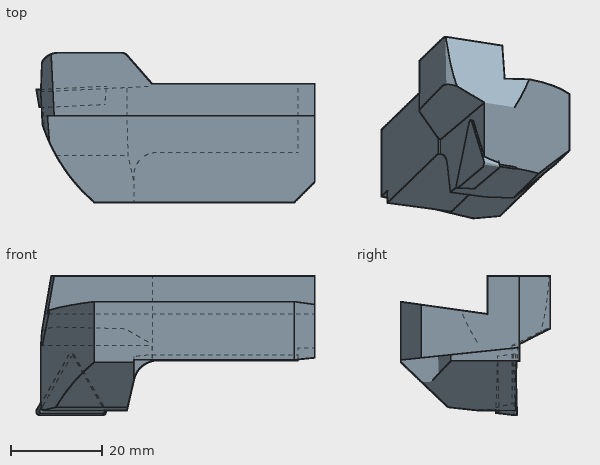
import cadquery as cq
import math


def tan_deg(angle):
    return math.tan(math.radians(angle))


holder_length = 60.07
holder_height = 29.5
front_y = -19.0
head_back_y = 13.8
shank_back_y = 7.0
edge_reach = 0.05
margin = 5.0

nose_x = 0.34
nose_turn = 2.8
nose_lean = 10.0
nose_lean_z = 14.3
nose_foot_chamfer = 0.35
nose_foot_lean = 45.0

curve_start_y = -1.85
curve_end_x = 11.83
curve_radius = 38.0
head_corner_radius = 4.0
head_end_x = 18.5
head_end_radius = 1.5
shank_back_start_x = 24.45
end_chamfer = 4.5

step_depth = 8.3
step_slope = 8.0

foot_chamfer_top_z = 10.65
foot_chamfer_bottom_y = -8.6
foot_slope = 6.2

blade_foot_end_x = 18.96
blade_end_lean = 13.0
web_bottom_z = 10.95
web_fillet = 5.2

blade_back_y = 5.3
overhang_slope = 26.0

recess_start_x = 20.4
recess_front_z = 11.1
recess_slope = 6.0
recess_corner_radius = 5.0
web_front_y = -8.0
web_end_x = 56.3

inscribed_radius = 9.525 / 2
insert_thickness = 3.97
insert_nose_radius = 0.8
insert_clearance = 7.0
insert_overhang = 1.0
insert_center_x = 6.74
rake_y = 6.13


def nose_face_x(y):
    """X of the turned vertical nose face at a given Y."""
    return nose_x - y * tan_deg(nose_turn)


def corner_at(x, y):
    """Selects the vertical edge through a plan corner."""
    return cq.selectors.BoxSelector(
        (x - edge_reach, y - edge_reach, -margin),
        (x + edge_reach, y + edge_reach, holder_height + margin),
    )


def extrude_along_x(points, start_x, end_x):
    """Prism along X from a YZ outline."""
    return cq.Workplane("YZ", origin=(start_x, 0, 0)).polyline(points).close().extrude(end_x - start_x)


def make_blank():
    """Plan outline of the holder, extruded to full height."""
    curve_start = (nose_face_x(curve_start_y), curve_start_y)
    curve_end = (curve_end_x, front_y)
    head_corner = (nose_face_x(head_back_y), head_back_y)
    blank = (
        cq.Workplane("XY")
        .moveTo(*head_corner)
        .lineTo(*curve_start)
        .radiusArc(curve_end, -curve_radius)
        .lineTo(holder_length - end_chamfer, front_y)
        .lineTo(holder_length, front_y + end_chamfer)
        .lineTo(holder_length, shank_back_y)
        .lineTo(shank_back_start_x, shank_back_y)
        .lineTo(head_end_x, head_back_y)
        .close()
        .extrude(holder_height)
    )
    blank = blank.edges(corner_at(*head_corner)).fillet(head_corner_radius)
    return blank.edges(corner_at(head_end_x, head_back_y)).fillet(head_end_radius)


def make_step():
    """Space above the sloping shoulder, in front of the step wall."""
    floor_z = holder_height - step_depth
    outer_y = front_y - margin
    outer_z = floor_z - outer_y * tan_deg(step_slope)
    top_z = holder_height + margin
    outline = [(0, floor_z), (outer_y, outer_z), (outer_y, top_z), (0, top_z)]
    return extrude_along_x(outline, -margin, holder_length + margin)


def make_nose_cut(lean, start_z, end_z):
    """Wedge off the turned nose face, leaning back from start_z to end_z."""
    depth = abs(end_z - start_z) * tan_deg(lean)
    width = 4 * holder_height
    wedge = (
        cq.Workplane("XZ")
        .polyline([(-margin, start_z), (0, start_z), (depth, end_z), (-margin, end_z)])
        .close()
        .extrude(width / 2, both=True)
    )
    return wedge.rotate((0, 0, 0), (0, 0, 1), nose_turn).translate((nose_x, 0, 0))


def make_foot_cut():
    """Space below the front chamfer and the gently sloping foot."""
    foot_edge_z = (curve_start_y - foot_chamfer_bottom_y) * tan_deg(foot_slope)
    outline = [
        (front_y, foot_chamfer_top_z),
        (foot_chamfer_bottom_y, foot_edge_z),
        (curve_start_y, 0),
        (curve_start_y, -margin),
        (front_y - margin, -margin),
        (front_y - margin, foot_chamfer_top_z),
    ]
    return extrude_along_x(outline, -margin, holder_length + margin)


def make_blade_end_cut():
    """Space under the shank, behind the leaning end of the blade."""
    corner_x = blade_foot_end_x + web_bottom_z * tan_deg(blade_end_lean)
    low_x = blade_foot_end_x - margin * tan_deg(blade_end_lean)
    far_x = holder_length + margin
    cut = (
        cq.Workplane("XZ")
        .polyline([(low_x, -margin), (corner_x, web_bottom_z), (far_x, web_bottom_z), (far_x, -margin)])
        .close()
        .extrude(2 * holder_height, both=True)
    )
    return cut.faces(">Z").edges("<X").fillet(web_fillet)


def make_back_cut():
    """Space behind the turned blade back, below the sloping head overhang."""
    depth = head_back_y + margin
    outline = [
        (0, -margin),
        (0, nose_lean_z),
        (depth, nose_lean_z + depth * tan_deg(overhang_slope)),
        (depth, -margin),
    ]
    cut = extrude_along_x(outline, -margin, shank_back_start_x)
    return cut.rotate((0, 0, 0), (0, 0, 1), nose_turn).translate((0, blade_back_y, 0))


def make_shank_recess():
    """Recess under the shank, in front of the web and past its end."""
    far_x = holder_length + margin
    outer_y = front_y - margin
    back_y = head_back_y + margin
    plan = (
        cq.Workplane("XY", origin=(0, 0, -margin))
        .polyline([
            (recess_start_x, outer_y),
            (far_x, outer_y),
            (far_x, back_y),
            (web_end_x, back_y),
            (web_end_x, web_front_y),
            (recess_start_x, web_front_y),
        ])
        .close()
        .extrude(holder_height)
        .edges(corner_at(recess_start_x, web_front_y))
        .fillet(recess_corner_radius)
    )
    rise = tan_deg(recess_slope)
    roof = extrude_along_x(
        [
            (outer_y, -margin),
            (outer_y, recess_front_z + (outer_y - front_y) * rise),
            (back_y, recess_front_z + (back_y - front_y) * rise),
            (back_y, -margin),
        ],
        0,
        far_x,
    )
    return plan.intersect(roof)


def make_insert():
    """Rounded triangle tapering forward from its rake face, one edge along the bottom."""
    turn = math.radians(nose_turn)
    rake_plane = cq.Plane(
        origin=(insert_center_x, rake_y, inscribed_radius - insert_overhang),
        xDir=(math.cos(turn), math.sin(turn), 0),
        normal=(math.sin(turn), -math.cos(turn), 0),
    )
    half_edge = inscribed_radius * math.sqrt(3)
    corners = [(-half_edge, -inscribed_radius), (half_edge, -inscribed_radius), (0, 2 * inscribed_radius)]
    outline = cq.Sketch().polygon([*corners, corners[0]]).vertices().fillet(insert_nose_radius)
    return cq.Workplane(rake_plane).placeSketch(outline).extrude(insert_thickness, taper=insert_clearance)


def make_holder(insert):
    """Holder with its nose, shank and blade shaped, and a seat that fits the insert."""
    holder = (
        make_blank()
        .cut(make_step())
        .cut(make_nose_cut(nose_lean, nose_lean_z, holder_height + margin))
        .cut(make_nose_cut(nose_foot_lean, nose_foot_chamfer, 0))
        .cut(make_foot_cut())
        .cut(make_blade_end_cut())
        .cut(make_back_cut())
        .cut(make_shank_recess())
    )
    return holder.cut(insert)


insert = make_insert()
holder = make_holder(insert)

result = cq.Compound.makeCompound([holder.solids().val(), insert.val()])